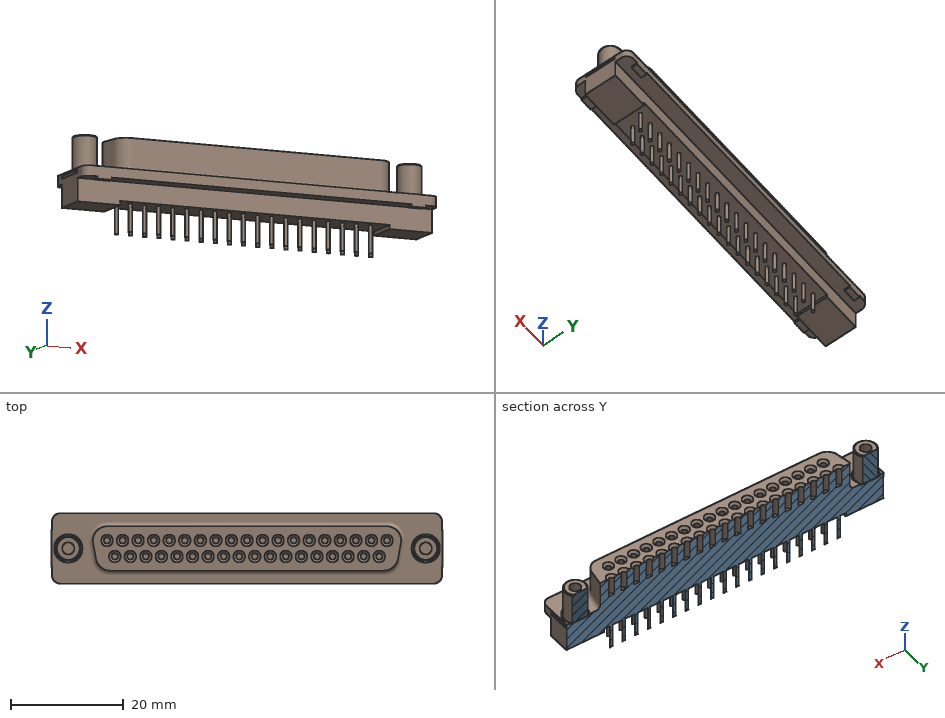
import cadquery as cq
import math

OVERALL_LENGTH = 69.5
END_RIB_DEPTH = 0.1
FLANGE_LENGTH = OVERALL_LENGTH - 2 * END_RIB_DEPTH
FLANGE_WIDTH = 12.6
FLANGE_THICKNESS = 1.9
FLANGE_CORNER_RADIUS = 1.5

END_RIB_LENGTH = 6.45
END_RIB_HEIGHT = 0.5
END_RIB_CENTER_Z = 1.25

TAB_LENGTH = 2.8
TAB_WIDTH = 1.25
TAB_THICKNESS = 0.4
TAB_SPACING = 61.4

BASE_WIDTH = 6.8
BASE_DEPTH = 4.25
FOOT_LENGTH = 8.3
FOOT_HEIGHT = 0.75

SHELL_TOP_LENGTH = 54.75
SHELL_WIDTH = 7.85
SHELL_TOP_Z = 8.0
SHELL_SIDE_ANGLE = 10
SHELL_CORNER_RADIUS = 2.5
SHELL_BASE_FILLET = 0.8

CONTACTS_IN_LONG_ROW = 19
LONG_ROW_SPAN = 49.75
CONTACT_PITCH = LONG_ROW_SPAN / (CONTACTS_IN_LONG_ROW - 1)
ROW_SPACING = 2.85
SOCKET_MOUTH_DIAMETER = 2.1
SOCKET_DIAMETER = 1.1
SOCKET_CHAMFER = (SOCKET_MOUTH_DIAMETER - SOCKET_DIAMETER) / 2
SOCKET_DEPTH = 4.2
PIN_DIAMETER = 0.65
PIN_TIP_Z = -8.55

POST_SPACING = 63.5
POST_DIAMETER = 4.45
POST_TOP_Z = 8.3
POST_CHAMFER = 0.2
POST_BORE_DIAMETER = 2.15
POST_BORE_DEPTH = 5.55
POST_SEAT_DIAMETER = 5.1
POST_SEAT_DEPTH = 0.3


def contact_positions():
    """Centres of all contacts: the long row at +Y, the short row staggered at -Y."""
    rows = (
        (CONTACTS_IN_LONG_ROW, ROW_SPACING / 2),
        (CONTACTS_IN_LONG_ROW - 1, -ROW_SPACING / 2),
    )
    return [
        ((i - (count - 1) / 2) * CONTACT_PITCH, y)
        for count, y in rows
        for i in range(count)
    ]


def make_flange():
    """Rounded plate with a rib on each end face and four tabs under its long edges."""
    plate = (
        cq.Workplane("XY")
        .box(FLANGE_LENGTH, FLANGE_WIDTH, FLANGE_THICKNESS, centered=(True, True, False))
        .edges("|Z")
        .fillet(FLANGE_CORNER_RADIUS)
    )
    end_ribs = (
        cq.Workplane("XY")
        .workplane(offset=END_RIB_CENTER_Z)
        .box(OVERALL_LENGTH, END_RIB_LENGTH, END_RIB_HEIGHT)
    )
    tabs = (
        cq.Workplane("XY")
        .rarray(TAB_SPACING, FLANGE_WIDTH - TAB_WIDTH, 2, 2)
        .rect(TAB_LENGTH, TAB_WIDTH)
        .extrude(-TAB_THICKNESS)
    )
    return plate.union(end_ribs).union(tabs)


def make_base():
    """Block under the flange, relieved along the middle so that a foot remains at each end."""
    underside = cq.Workplane("XY").workplane(offset=-BASE_DEPTH)
    block = underside.rect(FLANGE_LENGTH, BASE_WIDTH).extrude(BASE_DEPTH)
    gap_length = FLANGE_LENGTH - 2 * FOOT_LENGTH
    gap_between_feet = underside.rect(gap_length, BASE_WIDTH).extrude(FOOT_HEIGHT)
    return block.cut(gap_between_feet)


def make_shell():
    """D-shaped shell: the +Y side is longer and both ends slope inward toward -Y."""
    slope = math.radians(SHELL_SIDE_ANGLE)
    half_width = SHELL_WIDTH / 2
    corner_overhang = SHELL_CORNER_RADIUS * (math.tan(math.radians(45) + slope / 2) - 1)
    half_long = SHELL_TOP_LENGTH / 2 + corner_overhang
    half_short = half_long - SHELL_WIDTH * math.tan(slope)
    outline = [
        (-half_short, -half_width),
        (half_short, -half_width),
        (half_long, half_width),
        (-half_long, half_width),
    ]
    return (
        cq.Workplane("XY")
        .polyline(outline)
        .close()
        .extrude(SHELL_TOP_Z)
        .edges("|Z")
        .fillet(SHELL_CORNER_RADIUS)
    )


def make_flanged_shell():
    """Flange and shell, blended by a concave fillet around the foot of the shell."""
    shell_foot = cq.selectors.BoxSelector(
        (-SHELL_TOP_LENGTH / 2, -FLANGE_WIDTH / 2 + TAB_WIDTH, FLANGE_THICKNESS / 2),
        (SHELL_TOP_LENGTH / 2, FLANGE_WIDTH / 2 - TAB_WIDTH, FLANGE_THICKNESS * 3 / 2),
    )
    return make_flange().union(make_shell()).edges(shell_foot).fillet(SHELL_BASE_FILLET)


def make_sockets():
    """Blind contact holes in the top of the shell, each with a 45 degree lead-in."""
    bores = (
        cq.Workplane("XY")
        .workplane(offset=SHELL_TOP_Z)
        .pushPoints(contact_positions())
        .circle(SOCKET_DIAMETER / 2)
        .extrude(-SOCKET_DEPTH)
    )
    lead_in = cq.Solid.makeCone(
        SOCKET_DIAMETER / 2,
        SOCKET_MOUTH_DIAMETER / 2,
        SOCKET_CHAMFER,
        pnt=cq.Vector(0, 0, SHELL_TOP_Z - SOCKET_CHAMFER),
    )
    lead_ins = cq.Workplane("XY").pushPoints(contact_positions()).eachpoint(lead_in)
    return bores.union(lead_ins)


def make_pins():
    """Solder pins below the contacts, reaching up into the base block."""
    return (
        cq.Workplane("XY")
        .workplane(offset=PIN_TIP_Z)
        .pushPoints(contact_positions())
        .circle(PIN_DIAMETER / 2)
        .extrude(-PIN_TIP_Z)
    )


def make_post_seats():
    """Shallow recesses in the flange in which the jack posts stand."""
    return (
        cq.Workplane("XY")
        .workplane(offset=FLANGE_THICKNESS)
        .rarray(POST_SPACING, 0.7, 2, 1)
        .circle(POST_SEAT_DIAMETER / 2)
        .extrude(-POST_SEAT_DEPTH)
    )


def make_housing():
    """Connector body with its contacts and the seats for the jack posts."""
    body = make_flanged_shell().union(make_base())
    return body.cut(make_sockets()).union(make_pins()).cut(make_post_seats())


def make_jack_post(x):
    """Bored, chamfered post standing on the floor of its seat."""
    seat_z = FLANGE_THICKNESS - POST_SEAT_DEPTH
    return (
        cq.Workplane("XY")
        .workplane(offset=seat_z)
        .center(x, 0)
        .circle(POST_DIAMETER / 2)
        .extrude(POST_TOP_Z - seat_z)
        .faces(">Z")
        .chamfer(POST_CHAMFER)
        .faces(">Z")
        .workplane()
        .hole(POST_BORE_DIAMETER, POST_BORE_DEPTH)
    )


housing = make_housing()
jack_posts = [make_jack_post(side * POST_SPACING / 2) for side in (-1, 1)]

result = cq.Compound.makeCompound([housing.val(), *[post.val() for post in jack_posts]])